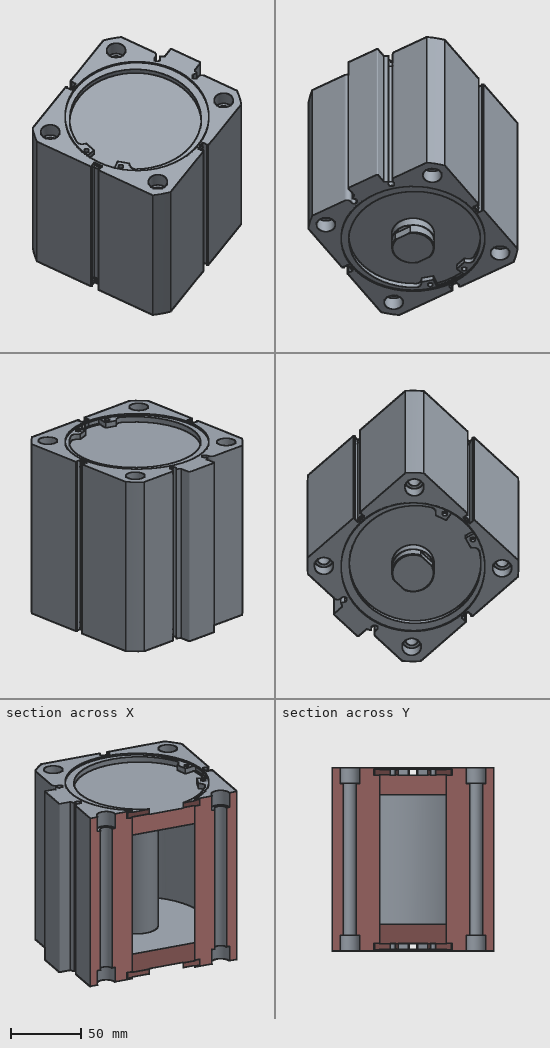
import cadquery as cq
import math


width = 115.0
half = width / 2
housing_height = 130.5
corner_radius = 75.0
bolt_pitch = 89.6
bolt_hole_diameter = 9.0
counterbore_diameter = 13.5
counterbore_depth = 11.2

boss_half_width = 12.5
boss_projection = 9.1
boss_edge_radius = 0.7
boss_foot_height = 0.5
channel_inner_x = 13.7
channel_width = 4.0
channel_depth = 6.5
channel_lead_radius = 3.4
hook_tip_x = 15.4
hook_tip_depth = 1.1
hook_root_depth = 3.1

slot_mouth_width = 5.2
slot_width = 6.5
slot_depth = 4.6
slot_lip = 1.1
slot_mouth_chamfer = 0.5

bore_radius = 51.1
groove_radius = 53.0
ring_thickness = 4.0
ring_inset = 1.3

ring_inner_radius = 46.8
ring_inner_shift = 2.1
ring_gap_half_angle = 13.0
lug_hole_diameter = 3.5
lug_hole = (14.3, -45.4)
lug_tip_inner = (9.8, -42.4)
lug_tip_outer = (17.9, -39.8)
lug_flank_end = (19.9, -41.7)
lug_root_middle = (22.4, -42.5)
lug_root_x = 25.2

cover_thickness = 14.0
rod_radius = 15.1
rod_end_radius = 15.0
rod_shoulder = 1.7
rod_projection = 9.5
rod_chamfer = 0.5
flat_half_width = 13.6
flat_top = 2.8

ring_end = ring_inset + ring_thickness
top_cover_base = housing_height - ring_end - cover_thickness


def mirrored(point):
    return (-point[0], point[1])


def housing_blank():
    """Square block with its four corners rounded about the bore axis."""
    block = cq.Workplane("XY").rect(width, width).extrude(housing_height)
    envelope = cq.Workplane("XY").circle(corner_radius).extrude(housing_height)
    return block.intersect(envelope)


def port_boss():
    """Full-height rib on the back face, with a sloping foot on each side."""
    hook_tip = (hook_tip_x, half - hook_tip_depth)
    foot_top = (boss_half_width, half + boss_foot_height)
    corner = (boss_half_width, half + boss_projection)
    return (
        cq.Workplane("XY")
        .polyline([hook_tip, foot_top, corner, mirrored(corner), mirrored(foot_top), mirrored(hook_tip)])
        .close()
        .extrude(housing_height)
        .edges("|Z and >Y")
        .fillet(boss_edge_radius)
    )


def boss_channel():
    """Undercut channel beside the boss, on the +X side."""
    outer_x = channel_inner_x + channel_width
    end_radius = channel_width / 2
    end_y = half - channel_depth + end_radius
    lead_x = outer_x + channel_lead_radius
    lead_middle = channel_lead_radius * math.sqrt(0.5)
    return (
        cq.Workplane("XY")
        .moveTo(boss_half_width, half + boss_foot_height)
        .lineTo(hook_tip_x, half - hook_tip_depth)
        .lineTo(channel_inner_x, half - hook_root_depth)
        .lineTo(channel_inner_x, end_y)
        .threePointArc((channel_inner_x + end_radius, half - channel_depth), (outer_x, end_y))
        .lineTo(outer_x, half - channel_lead_radius)
        .threePointArc(
            (lead_x - lead_middle, half - channel_lead_radius + lead_middle),
            (lead_x, half),
        )
        .close()
        .extrude(housing_height)
    )


def sensor_slot():
    """T-shaped slot with a chamfered mouth, running the full height of the front face."""
    mouth_x = slot_mouth_width / 2
    pocket_x = slot_width / 2
    right_side = [
        (mouth_x + slot_mouth_chamfer, -half),
        (mouth_x, -half + slot_mouth_chamfer),
        (mouth_x, -half + slot_lip),
        (pocket_x, -half + slot_lip),
        (pocket_x, -half + slot_depth),
    ]
    left_side = [mirrored(point) for point in reversed(right_side)]
    return cq.Workplane("XY").polyline(right_side + left_side).close().extrude(housing_height)


def bolt_holes():
    """Four through holes, counterbored from both ends."""
    def cylinders(diameter, base, height):
        return (
            cq.Workplane("XY", origin=(0, 0, base))
            .rect(bolt_pitch, bolt_pitch, forConstruction=True)
            .vertices()
            .circle(diameter / 2)
            .extrude(height)
        )

    holes = cylinders(bolt_hole_diameter, 0, housing_height)
    for base in (0, housing_height - counterbore_depth):
        holes = holes.union(cylinders(counterbore_diameter, base, counterbore_depth))
    return holes


def bore():
    """Through bore with a snap ring groove near each end."""
    cavity = cq.Workplane("XY").circle(bore_radius).extrude(housing_height)
    for base in (ring_inset, housing_height - ring_end):
        groove = (
            cq.Workplane("XY", origin=(0, 0, base))
            .circle(groove_radius)
            .extrude(ring_thickness)
        )
        cavity = cavity.union(groove)
    return cavity


def make_housing():
    body = housing_blank().union(port_boss())
    channel = boss_channel()
    body = body.cut(channel).cut(channel.mirror("YZ"))
    for angle in (-90, 0, 90):
        body = body.cut(sensor_slot().rotate((0, 0, 0), (0, 0, 1), angle))
    return body.cut(bolt_holes()).cut(bore())


def make_snap_ring(base):
    """Eccentric open ring, with a drilled lug on each side of the gap at the front."""
    gap_angle = math.radians(ring_gap_half_angle)
    gap_corner = (groove_radius * math.sin(gap_angle), -groove_radius * math.cos(gap_angle))
    root_drop = math.sqrt(ring_inner_radius**2 - lug_root_x**2)
    lug_root = (lug_root_x, -ring_inner_shift - root_drop)
    return (
        cq.Workplane("XY", origin=(0, 0, base))
        .moveTo(*gap_corner)
        .threePointArc((0, groove_radius), mirrored(gap_corner))
        .lineTo(*mirrored(lug_tip_inner))
        .lineTo(*mirrored(lug_tip_outer))
        .lineTo(*mirrored(lug_flank_end))
        .threePointArc(mirrored(lug_root_middle), mirrored(lug_root))
        .threePointArc((0, ring_inner_radius - ring_inner_shift), lug_root)
        .threePointArc(lug_root_middle, lug_flank_end)
        .lineTo(*lug_tip_outer)
        .lineTo(*lug_tip_inner)
        .close()
        .pushPoints([lug_hole, mirrored(lug_hole)])
        .circle(lug_hole_diameter / 2)
        .extrude(ring_thickness)
    )


def make_head_cover():
    return (
        cq.Workplane("XY", origin=(0, 0, top_cover_base))
        .circle(bore_radius)
        .extrude(cover_thickness)
    )


def make_rod_gland():
    return (
        cq.Workplane("XY", origin=(0, 0, ring_end))
        .circle(bore_radius)
        .circle(rod_radius)
        .extrude(cover_thickness)
    )


def wrench_flat_cut():
    """Material removed for the flat on the front; its upper end runs out at 45 degrees."""
    flat_depth = rod_end_radius - flat_half_width
    return (
        cq.Workplane("YZ")
        .moveTo(-flat_half_width, -rod_projection)
        .lineTo(-flat_half_width, -flat_top)
        .lineTo(-rod_end_radius, -flat_top + flat_depth)
        .lineTo(-rod_end_radius, -rod_projection)
        .close()
        .extrude(rod_end_radius, both=True)
    )


def make_piston_rod():
    """Rod from the head cover down through the gland, with two wrench flats at its end."""
    shank = (
        cq.Workplane("XY", origin=(0, 0, -rod_shoulder))
        .circle(rod_radius)
        .extrude(rod_shoulder + top_cover_base)
    )
    rod_end = (
        cq.Workplane("XY", origin=(0, 0, -rod_projection))
        .circle(rod_end_radius)
        .extrude(rod_projection - rod_shoulder)
        .faces("<Z")
        .chamfer(rod_chamfer)
    )
    flat = wrench_flat_cut()
    return shank.union(rod_end).cut(flat).cut(flat.mirror("XZ"))


housing = make_housing()
snap_rings = [make_snap_ring(base) for base in (ring_inset, housing_height - ring_end)]
head_cover = make_head_cover()
rod_gland = make_rod_gland()
piston_rod = make_piston_rod()

result = cq.Compound.makeCompound(
    [
        housing.val(),
        *[ring.val() for ring in snap_rings],
        head_cover.val(),
        rod_gland.val(),
        piston_rod.val(),
    ]
)